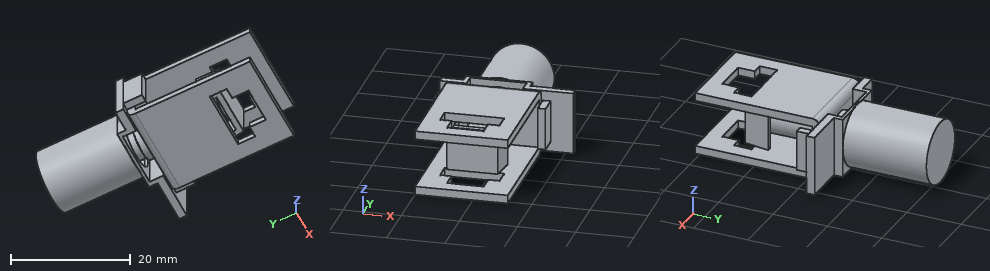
import cadquery as cq


barrel_diameter = 11.37
barrel_length = 15.35
bore_diameter = 8.55
bore_floor_y = 6.05
shaft_diameter = 5.85
shaft_tip_y = -13.78
collar_diameter = 7.0
collar_length = 1.55

plate_left = -9.5
plate_right = 13.5
plate_height = 10.87
plate_thickness = 1.5
step_width = 11.5
step_depth = 3.1
step_wall = 0.6
step_inner_width = 9.7
tab_outer_x = 9.63
tab_thickness = 1.35
tab_length = 3.55
tab_height = 7.35

bracket_width = 16.0
bracket_length = 23.05
bracket_height = 11.5
bracket_thickness = 1.5
window_rear_y = -14.0
window_step_y = -17.2
window_front_y = -20.25
window_wide = 10.25
window_narrow = 6.25

latch_rear_y = -11.0
latch_front_y = -15.5
latch_height = 7.68
latch_half_width = 4.35
latch_taper = 0.62
latch_front_wall = 1.05
latch_cavity_width = 6.9


def box_between(x0, x1, y0, y1, height):
    """Box with the given X and Y limits, centred on Z = 0."""
    box = cq.Workplane("XY").box(x1 - x0, y1 - y0, height)
    return box.translate(((x0 + x1) / 2, (y0 + y1) / 2, 0))


def rod(diameter, y0, y1):
    """Cylinder along the common axis from y0 up to y1."""
    return cq.Workplane("XZ", origin=(0, y0, 0)).circle(diameter / 2).extrude(y0 - y1)


def make_barrel():
    """Barrel with a blind bore, and the collared shaft that rises from the bore floor."""
    body = rod(barrel_diameter, step_depth, step_depth + barrel_length)
    body = body.cut(rod(bore_diameter, step_depth, bore_floor_y))
    body = body.union(rod(shaft_diameter, shaft_tip_y, bore_floor_y))
    return body.union(rod(collar_diameter, 0, collar_length))


def make_plate():
    """Plate with a stepped middle, a clearance hole and two tabs beside the bracket."""
    plate = box_between(plate_left, plate_right, 0, plate_thickness, plate_height)
    plate = plate.union(box_between(-step_width / 2, step_width / 2, 0, step_depth, plate_height))
    recess_half = step_inner_width / 2
    recess_depth = step_depth - step_wall
    plate = plate.cut(box_between(-recess_half, recess_half, 0, recess_depth, plate_height))
    plate = plate.cut(rod(bore_diameter, 0, step_depth))
    tab_inner_x = tab_outer_x - tab_thickness
    for x0 in (-tab_outer_x, tab_inner_x):
        plate = plate.union(box_between(x0, x0 + tab_thickness, -tab_length, 0, tab_height))
    return plate


def make_bracket():
    """U-shaped bracket with a shaft hole in its web and a T-shaped window in each arm."""
    half_width = bracket_width / 2
    bracket = box_between(-half_width, half_width, -bracket_length, 0, bracket_height)
    bracket = bracket.edges("|X and >Y").fillet(bracket_thickness)
    inner_height = bracket_height - 2 * bracket_thickness
    bracket = bracket.cut(
        box_between(-half_width, half_width, -bracket_length, -bracket_thickness, inner_height)
    )
    wide_half = window_wide / 2
    narrow_half = window_narrow / 2
    bracket = bracket.cut(
        box_between(-wide_half, wide_half, window_step_y, window_rear_y, bracket_height)
    )
    bracket = bracket.cut(
        box_between(-narrow_half, narrow_half, window_front_y, window_step_y, bracket_height)
    )
    return bracket.cut(rod(shaft_diameter, -bracket_thickness, 0))


def make_latch():
    """Hook open towards the barrel, with a +X leg that splays outwards."""
    cavity_half = latch_cavity_width / 2
    cavity_front_y = latch_front_y + latch_front_wall
    outline = [
        (-latch_half_width, latch_rear_y),
        (-latch_half_width, latch_front_y),
        (latch_half_width, latch_front_y),
        (latch_half_width + latch_taper, latch_rear_y),
        (cavity_half + latch_taper, latch_rear_y),
        (cavity_half, cavity_front_y),
        (-cavity_half, cavity_front_y),
        (-cavity_half, latch_rear_y),
    ]
    return cq.Workplane("XY").polyline(outline).close().extrude(latch_height / 2, both=True)


barrel = make_barrel()
plate = make_plate()
bracket = make_bracket()
latch = make_latch()

result = cq.Compound.makeCompound([barrel.val(), plate.val(), bracket.val(), latch.val()])